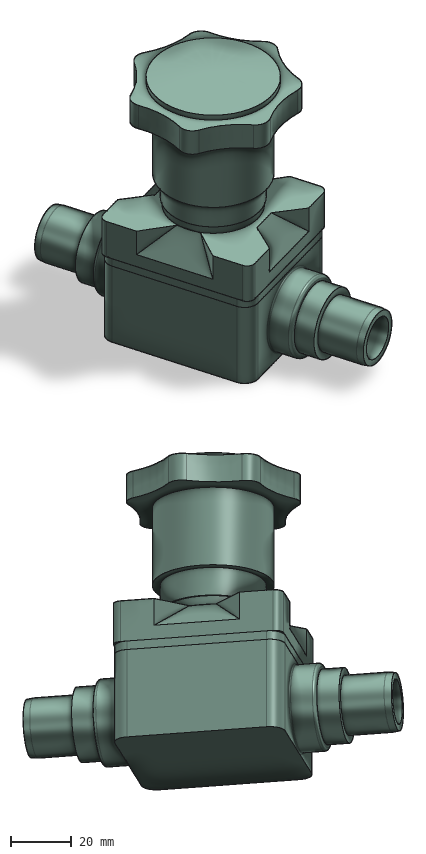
import cadquery as cq
import math

overall_length = 124.0
block_length = 57.3
block_width = 52.1
body_corner_radius = 5.1
bonnet_corner_radius = 3.0

body_top = 30.6
diaphragm_top = 33.6
bonnet_top = 47.9
neck_step = 50.8
sleeve_bottom = 60.5
grip_bottom = 87.7
grip_top = 97.1
cap_rim_top = 99.1
cap_dome_top = 101.0

flow_axis_height = 15.1
spigot_diameter = 20.0
spigot_length = 17.0
spigot_taper_length = 2.4
spigot_taper_depth = 0.31
collar_diameter = 25.0
collar_length = 7.5
nut_diameter = 29.1
nut_edge_radius = 1.1
nut_base_fillet = 0.5
bore_diameter = 15.0
match_tolerance = 0.01

notch_floor_height = 38.5
notch_depth = bonnet_top - notch_floor_height
front_notch_width = 28.8
front_notch_inner_width = 9.0
end_notch_width = 26.5
end_notch_inner_width = 9.7

neck_base_diameter = 33.9
neck_diameter = 35.0
sleeve_diameter = 40.2
cap_diameter = 44.3
lobe_count = 7
lobe_reach = 29.3
valley_reach = 25.3
lobe_tip_radius = 5.0


def rounded_block(bottom, top, corner_radius):
    return (
        cq.Workplane("XY", origin=(0, 0, bottom))
        .rect(block_length, block_width)
        .extrude(top - bottom)
        .edges("|Z")
        .fillet(corner_radius)
    )


def disc(diameter, bottom, top):
    return cq.Workplane("XY", origin=(0, 0, bottom)).circle(diameter / 2).extrude(top - bottom)


def pipe_end():
    """Stepped pipe end pointing along +X, starting at the end face of the block."""
    block_face = block_length / 2
    tip = overall_length / 2
    spigot_root = tip - spigot_length
    nut_face = spigot_root - collar_length
    axis = cq.Workplane("YZ", origin=(0, 0, flow_axis_height))
    nut = (
        axis.workplane(offset=block_face)
        .circle(nut_diameter / 2)
        .extrude(nut_face - block_face)
        .faces(">X")
        .edges()
        .fillet(nut_edge_radius)
    )
    collar = axis.workplane(offset=nut_face).circle(collar_diameter / 2).extrude(collar_length)
    spigot = (
        axis.workplane(offset=spigot_root)
        .circle(spigot_diameter / 2)
        .extrude(spigot_length)
        .faces(">X")
        .chamfer(spigot_taper_length, spigot_taper_depth)
    )
    bore = axis.workplane(offset=block_face).circle(bore_diameter / 2).extrude(tip - block_face)
    return nut.union(collar).union(spigot).cut(bore)


def is_nut_base(edge):
    """True for the circle where a nut meets an end face of the block."""
    at_block_face = math.isclose(abs(edge.Center().x), block_length / 2, abs_tol=match_tolerance)
    return at_block_face and math.isclose(edge.radius(), nut_diameter / 2, abs_tol=match_tolerance)


def make_body():
    body = rounded_block(0, body_top, body_corner_radius)
    for turn in (0, 180):
        body = body.union(pipe_end().rotate((0, 0, 0), (0, 0, 1), turn))
    nut_bases = [edge for edge in body.edges("%CIRCLE").vals() if is_nut_base(edge)]
    return body.newObject(nut_bases).fillet(nut_base_fillet)


def make_diaphragm():
    return rounded_block(body_top, diaphragm_top, body_corner_radius)


def notch(face_distance, outer_width, inner_width):
    """Cutter for the +X side: walls close inward, floor climbs to the top face."""
    inner = face_distance - notch_depth
    plan = (
        cq.Workplane("XY", origin=(0, 0, notch_floor_height))
        .moveTo(inner, -inner_width / 2)
        .lineTo(face_distance, -outer_width / 2)
        .lineTo(face_distance, outer_width / 2)
        .lineTo(inner, inner_width / 2)
        .close()
        .extrude(bonnet_top - notch_floor_height)
    )
    slope = (
        cq.Workplane("XZ")
        .moveTo(inner, bonnet_top)
        .lineTo(face_distance, bonnet_top)
        .lineTo(face_distance, notch_floor_height)
        .close()
        .extrude(outer_width / 2, both=True)
    )
    return plan.intersect(slope)


def make_bonnet():
    bonnet = rounded_block(diaphragm_top, bonnet_top, bonnet_corner_radius)
    end_notch = notch(block_length / 2, end_notch_width, end_notch_inner_width)
    front_notch = notch(block_width / 2, front_notch_width, front_notch_inner_width)
    for cutter, turn in ((end_notch, 0), (front_notch, 90), (end_notch, 180), (front_notch, 270)):
        bonnet = bonnet.cut(cutter.rotate((0, 0, 0), (0, 0, 1), turn))
    bonnet = bonnet.union(disc(neck_base_diameter, bonnet_top, neck_step))
    return bonnet.union(disc(neck_diameter, neck_step, sleeve_bottom))


def polar(radius, angle):
    return (radius * math.cos(angle), radius * math.sin(angle))


def make_grip():
    """Lobed plate: convex lobe tips joined by tangent concave valleys."""
    half_pitch = math.pi / lobe_count
    tip_centre = lobe_reach - lobe_tip_radius
    along = tip_centre * math.cos(half_pitch)
    valley_radius = (
        (lobe_tip_radius**2 - valley_reach**2 - tip_centre**2 + 2 * valley_reach * along)
        / (2 * (valley_reach - along - lobe_tip_radius))
    )
    valley_x, valley_y = polar(valley_reach + valley_radius, half_pitch)
    share = lobe_tip_radius / (lobe_tip_radius + valley_radius)
    joint_x = tip_centre + share * (valley_x - tip_centre)
    joint_y = share * valley_y
    joint_reach = math.hypot(joint_x, joint_y)
    joint_angle = math.atan2(joint_y, joint_x)

    first_lobe = math.pi
    outline = cq.Workplane("XY", origin=(0, 0, grip_bottom)).moveTo(
        *polar(joint_reach, first_lobe - joint_angle)
    )
    for index in range(lobe_count):
        lobe = first_lobe + 2 * half_pitch * index
        next_lobe = lobe + 2 * half_pitch
        outline = outline.threePointArc(
            polar(lobe_reach, lobe), polar(joint_reach, lobe + joint_angle)
        ).threePointArc(
            polar(valley_reach, lobe + half_pitch), polar(joint_reach, next_lobe - joint_angle)
        )
    return outline.close().extrude(grip_top - grip_bottom)


def make_cap():
    rim = cap_diameter / 2
    rise = cap_dome_top - cap_rim_top
    dome_radius = (rim**2 + rise**2) / (2 * rise)
    middle_x = rim / 2
    middle_z = cap_dome_top - dome_radius + math.sqrt(dome_radius**2 - middle_x**2)
    return (
        cq.Workplane("XZ")
        .moveTo(0, grip_top)
        .lineTo(rim, grip_top)
        .lineTo(rim, cap_rim_top)
        .threePointArc((middle_x, middle_z), (0, cap_dome_top))
        .close()
        .revolve(360, (0, 0, 0), (0, 1, 0))
    )


def make_handwheel():
    sleeve = disc(sleeve_diameter, sleeve_bottom, grip_bottom)
    return sleeve.union(make_grip()).union(make_cap())


def make_actuator():
    return make_bonnet().union(make_handwheel())


body = make_body()
diaphragm = make_diaphragm()
actuator = make_actuator()

result = cq.Compound.makeCompound([body.val(), diaphragm.val(), actuator.val()])